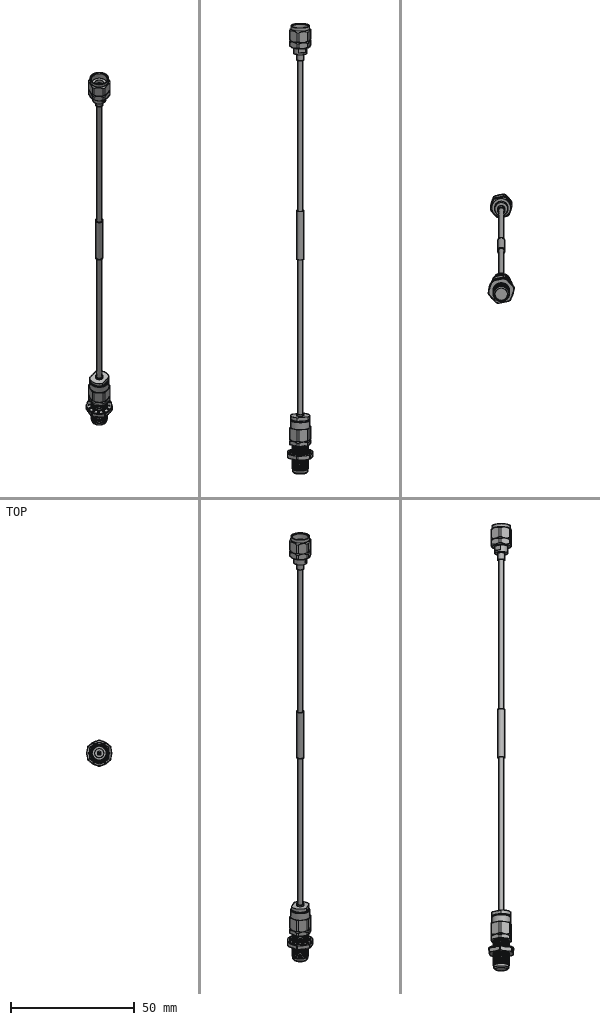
import cadquery as cq
import math


total_length = 187.01
plug_top = total_length

cable_radius = 1.1
marker_radius = 1.5
marker_bottom = 89.3
marker_length = 20.3

hex_across_flats = 8.0
hex_corner_radius = 4.4
hex_corner_chamfer = 0.6
flat_cutter_size = 10.0
mark_groove_radius = hex_across_flats / 2 - 0.05
mark_groove_depth = hex_corner_radius - mark_groove_radius

thread_pitch = 25.4 / 36
thread_radius = 3.39
thread_depth = 0.3
thread_root_radius = thread_radius - thread_depth

coupling_bottom = plug_top - 8.75
coupling_hex_top = plug_top - 1.3
coupling_collar_radius = 3.75
coupling_mark_z = plug_top - 6.1
coupling_bore_radius = 3.2
coupling_mouth_chamfer = 0.3
coupling_bore_depth = 5.5

plug_barrel_radius = 2.7
plug_barrel_bottom = plug_top - 11.5
plug_tail_radius = 1.5
plug_tail_bottom = plug_top - 14.3
plug_barrel_top = plug_top - coupling_bore_depth
plug_shell_radius = 2.95
plug_shell_bore_radius = 1.85
plug_shell_top = plug_top - 2.5
plug_insulator_top = plug_top - 4.0
plug_pin_radius = 0.8
plug_pin_tip_chamfer = 0.5
plug_flat_half_spacing = 2.3
plug_flat_bottom = plug_top - 10.7

jack_rim_radius = 2.5
jack_nose_radius = 3.05
jack_nose_chamfer = jack_nose_radius - jack_rim_radius
jack_thread_bottom = 1.5
jack_hex_bottom = 12.1
jack_mark_z = 13.8
jack_hex_top = 19.0
jack_barrel_radius = 3.9
jack_flat_bottom = 22.4
jack_groove_radius = 3.6
jack_groove_width = 0.5
jack_flat_half_spacing = 3.15
jack_barrel_top = 23.9
jack_ferrule_radius = 1.5
jack_ferrule_top = 24.5
jack_socket_bottom = jack_hex_top

panel_nut_bottom = 6.5
panel_nut_top = 8.2
panel_nut_across_flats = 9.525
panel_nut_corner_radius = 10.75 / 2
panel_nut_chamfer = 0.3
washer_radius = 10.16 / 2
washer_thickness = 0.56
washer_notch_count = 12
washer_notch_width = 0.7
washer_notch_reach = 4.4


def cylinder(radius, bottom, top):
    return cq.Workplane("XY").workplane(offset=bottom).circle(radius).extrude(top - bottom)


def hexagon(across_flats, blank):
    """Mill six flats on a round blank, two of them facing -X and +X."""
    extent = blank.val().BoundingBox()
    prism = cq.Workplane("XY").polygon(6, 2 * across_flats / math.sqrt(3)).extrude(extent.zlen)
    prism = prism.rotate((0, 0, 0), (0, 0, 1), 30).translate((0, 0, extent.zmin))
    return blank.intersect(prism)


def turned(profile):
    """Revolve a closed (radius, z) outline about the Z axis."""
    return cq.Workplane("XZ").polyline(profile).close().revolve(360, (0, 0), (0, 1))


def mark_groove(z):
    """V-groove cutter that nicks the corners of a hexagon and just scores its flats."""
    reach = 2 * mark_groove_depth
    return turned([
        (mark_groove_radius, z),
        (mark_groove_radius + reach, z - reach),
        (mark_groove_radius + reach, z + reach),
    ])


def side_flats(half_spacing, bottom, top):
    """Cutters that leave a pair of wrench flats facing -X and +X."""
    block = cq.Workplane("XY").box(
        flat_cutter_size, flat_cutter_size, top - bottom, centered=(False, True, False))
    right = block.translate((half_spacing, 0, bottom))
    return right.union(right.mirror("YZ"))


def threaded_rod(bottom, top):
    """Threaded length with one V-shaped ridge per pitch."""
    ridges = int((top - bottom) / thread_pitch)
    profile = [(0, bottom), (thread_root_radius, bottom)]
    for i in range(ridges):
        z = bottom + i * thread_pitch
        profile += [(thread_radius, z + thread_pitch / 2), (thread_root_radius, z + thread_pitch)]
    profile += [(thread_root_radius, top), (0, top)]
    return turned(profile)


def make_cable():
    return cylinder(cable_radius, jack_socket_bottom, plug_barrel_bottom)


def make_marker_sleeve():
    marker_top = marker_bottom + marker_length
    outside = cylinder(marker_radius, marker_bottom, marker_top)
    return outside.cut(cylinder(cable_radius, marker_bottom, marker_top))


def make_coupling_nut():
    blank = cylinder(hex_corner_radius, coupling_bottom, coupling_hex_top)
    blank = blank.edges("%CIRCLE").chamfer(hex_corner_chamfer)
    nut = hexagon(hex_across_flats, blank).cut(mark_groove(coupling_mark_z))
    nut = nut.union(cylinder(coupling_collar_radius, coupling_hex_top, plug_top))
    bore = cylinder(coupling_bore_radius, plug_top - coupling_bore_depth, plug_top)
    nut = nut.cut(bore).faces(">Z").edges("%CIRCLE").edges(cq.selectors.RadiusNthSelector(0))
    nut = nut.chamfer(coupling_mouth_chamfer)
    return nut.cut(cylinder(plug_barrel_radius, coupling_bottom, plug_top))


def make_plug_body():
    body = cylinder(plug_barrel_radius, plug_barrel_bottom, plug_barrel_top)
    body = body.cut(side_flats(plug_flat_half_spacing, plug_flat_bottom, coupling_bottom))
    body = body.union(cylinder(plug_shell_radius, plug_barrel_top, plug_shell_top))
    body = body.cut(cylinder(plug_shell_bore_radius, plug_insulator_top, plug_shell_top))
    pin = cylinder(plug_pin_radius, plug_insulator_top, plug_shell_top)
    body = body.union(pin.faces(">Z").chamfer(plug_pin_tip_chamfer))
    body = body.union(cylinder(plug_tail_radius, plug_tail_bottom, plug_barrel_bottom))
    return body.cut(cylinder(cable_radius, plug_tail_bottom, plug_barrel_bottom))


def make_jack_body():
    nose = cylinder(jack_nose_radius, 0, jack_thread_bottom).faces("<Z").chamfer(jack_nose_chamfer)
    wrench_hex = hexagon(hex_across_flats, cylinder(hex_corner_radius, jack_hex_bottom, jack_hex_top))
    wrench_hex = wrench_hex.cut(mark_groove(jack_mark_z))
    barrel = cylinder(jack_barrel_radius, jack_hex_top, jack_barrel_top)
    barrel = barrel.cut(side_flats(jack_flat_half_spacing, jack_flat_bottom, jack_barrel_top))
    groove_bottom = jack_flat_bottom - jack_groove_width
    groove = cylinder(jack_barrel_radius, groove_bottom, jack_flat_bottom)
    barrel = barrel.cut(groove.cut(cylinder(jack_groove_radius, groove_bottom, jack_flat_bottom)))
    body = nose.union(threaded_rod(jack_thread_bottom, jack_hex_bottom))
    body = body.union(wrench_hex).union(barrel)
    body = body.union(cylinder(jack_ferrule_radius, jack_barrel_top, jack_ferrule_top))
    return body.cut(cylinder(cable_radius, jack_socket_bottom, jack_ferrule_top))


def make_panel_nut(jack):
    blank = cylinder(panel_nut_corner_radius, panel_nut_bottom, panel_nut_top)
    blank = blank.faces("<Z").chamfer(panel_nut_chamfer)
    return hexagon(panel_nut_across_flats, blank).cut(jack)


def make_washer():
    """Lock washer whose inner edge is notched into teeth."""
    washer_top = panel_nut_top + washer_thickness
    disc = cylinder(washer_radius, panel_nut_top, washer_top)
    disc = disc.cut(cylinder(thread_radius, panel_nut_top, washer_top))
    notch = cq.Workplane("XY").box(
        washer_notch_reach, washer_notch_width, washer_thickness, centered=(False, True, False))
    notch = notch.translate((0, 0, panel_nut_top))
    for i in range(washer_notch_count):
        disc = disc.cut(notch.rotate((0, 0, 0), (0, 0, 1), i * 360 / washer_notch_count))
    return disc


cable = make_cable()
marker_sleeve = make_marker_sleeve()
coupling_nut = make_coupling_nut()
plug_body = make_plug_body()
jack_body = make_jack_body()
panel_nut = make_panel_nut(jack_body)
washer = make_washer()

result = cq.Compound.makeCompound([
    cable.val(),
    marker_sleeve.val(),
    coupling_nut.val(),
    plug_body.val(),
    jack_body.val(),
    panel_nut.val(),
    washer.val(),
])